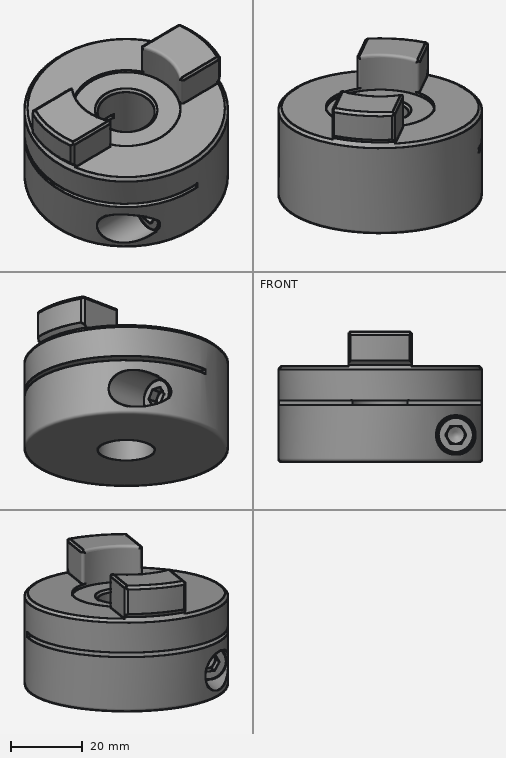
import cadquery as cq

outer_radius = 28.5
disc_height = 26.85
total_height = 36.5
bottom_fillet = 0.9
top_chamfer = 0.9
bore_radius = 8.0
bore_chamfer = 0.75
recess_radius = 15.15
recess_depth = 0.85

jaw_width = 17.8
jaw_side_chamfer = 0.7
jaw_outer_chamfer = 0.9
jaw_corner_fillet = 0.7
jaw_inner_fillet = 0.9
groove_bottom = disc_height - top_chamfer
groove_depth = 1.25

slot_bottom = 15.95
slot_height = 1.3
slot_end_y = 2.1

screw_x = 21.15
screw_z = 7.6
counterbore_radius = 5.55
head_radius = 5.0
head_length = 6.0
head_edge_chamfer = 0.2
head_face_y = -10.25
head_seat_y = head_face_y + head_length
shank_radius = 3.0
shank_end_y = 11.4
socket_corner_diameter = 5.8
socket_depth = 2.85
socket_cone_depth = 1.15


def y_cylinder(radius, start_y, end_y):
    """Cylinder on the screw axis between two Y positions."""
    return cq.Workplane(
        cq.Solid.makeCylinder(
            radius, end_y - start_y, cq.Vector(screw_x, start_y, screw_z), cq.Vector(0, 1, 0)
        )
    )


def make_disc():
    disc = cq.Workplane("XY").circle(outer_radius).extrude(disc_height)
    disc = disc.faces("<Z").edges().fillet(bottom_fillet)
    disc = disc.faces(">Z").edges().chamfer(top_chamfer)
    disc = disc.faces(">Z").workplane().circle(recess_radius).cutBlind(-recess_depth)
    bore = cq.Workplane("XY").circle(bore_radius).extrude(disc_height)
    disc = disc.cut(bore)
    recess_floor = disc_height - recess_depth
    mouth = cq.Workplane(
        cq.Solid.makeCone(
            bore_radius, bore_radius + bore_chamfer, bore_chamfer,
            cq.Vector(0, 0, recess_floor - bore_chamfer),
        )
    )
    return disc.cut(mouth)


def make_jaw():
    """Jaw on the +Y side: a ring sector with straight sides."""
    ring = (
        cq.Workplane("XY", origin=(0, 0, groove_bottom))
        .circle(outer_radius)
        .circle(recess_radius)
        .extrude(total_height - groove_bottom)
    )
    block = (
        cq.Workplane("XY", origin=(0, 0, groove_bottom))
        .rect(jaw_width, outer_radius)
        .extrude(total_height - groove_bottom)
        .translate((0, outer_radius / 2, 0))
    )
    jaw = ring.intersect(block)
    middle_y = (recess_radius + outer_radius) / 2
    jaw = jaw.edges(cq.selectors.BoxSelector(
        (-outer_radius, middle_y, 0), (outer_radius, outer_radius, total_height)
    )).edges("|Z").chamfer(jaw_side_chamfer)
    jaw = jaw.edges(cq.selectors.BoxSelector(
        (-outer_radius, 0, 0), (outer_radius, middle_y, total_height)
    )).edges("|Z").fillet(jaw_corner_fillet)
    return shape_jaw_top(jaw)


def shape_jaw_top(jaw):
    half_width = jaw_width / 2
    roof = (
        cq.Workplane("XZ")
        .moveTo(-half_width, 0)
        .lineTo(half_width, 0)
        .lineTo(half_width, total_height - jaw_side_chamfer)
        .lineTo(half_width - jaw_side_chamfer, total_height)
        .lineTo(-half_width + jaw_side_chamfer, total_height)
        .lineTo(-half_width, total_height - jaw_side_chamfer)
        .close()
        .extrude(-outer_radius)
    )
    groove_tip_z = groove_bottom + groove_depth
    profile = (
        cq.Workplane("XZ")
        .moveTo(recess_radius, groove_bottom)
        .lineTo(outer_radius, groove_bottom)
        .lineTo(outer_radius - groove_depth, groove_tip_z)
        .lineTo(outer_radius, groove_tip_z + groove_depth)
        .lineTo(outer_radius, total_height - jaw_outer_chamfer)
        .lineTo(outer_radius - jaw_outer_chamfer, total_height)
        .lineTo(recess_radius + jaw_inner_fillet, total_height)
        .radiusArc((recess_radius, total_height - jaw_inner_fillet), -jaw_inner_fillet)
        .close()
        .revolve(360, (0, 0, 0), (0, 1, 0))
    )
    return jaw.intersect(roof).intersect(profile)


def make_slot():
    slot_length = outer_radius + slot_end_y
    return (
        cq.Workplane("XY", origin=(0, slot_end_y - slot_length / 2, slot_bottom))
        .rect(2 * outer_radius, slot_length)
        .extrude(slot_height)
    )


def make_hub():
    hub = make_disc()
    jaw = make_jaw()
    for angle in (0, 180):
        hub = hub.union(jaw.rotate((0, 0, 0), (0, 0, 1), angle))
    hub = hub.cut(make_slot())
    hub = hub.cut(y_cylinder(counterbore_radius, -outer_radius, head_seat_y))
    return hub.cut(y_cylinder(shank_radius, head_seat_y, shank_end_y))


def make_screw():
    head = y_cylinder(head_radius, head_face_y, head_seat_y).faces("<Y").edges().chamfer(head_edge_chamfer)
    screw = head.union(y_cylinder(shank_radius, head_seat_y, shank_end_y))
    socket = (
        cq.Workplane("XZ", origin=(screw_x, head_face_y, screw_z))
        .polygon(6, socket_corner_diameter)
        .extrude(-socket_depth)
    )
    socket_flat_radius = socket_corner_diameter / 2 * 3 ** 0.5 / 2
    drill_point = cq.Workplane(
        cq.Solid.makeCone(
            socket_flat_radius, 0, socket_cone_depth,
            cq.Vector(screw_x, head_face_y + socket_depth, screw_z), cq.Vector(0, 1, 0),
        )
    )
    return screw.cut(socket).cut(drill_point)


hub = make_hub()
screw = make_screw()
result = cq.Compound.makeCompound([hub.solids().val(), screw.solids().val()])